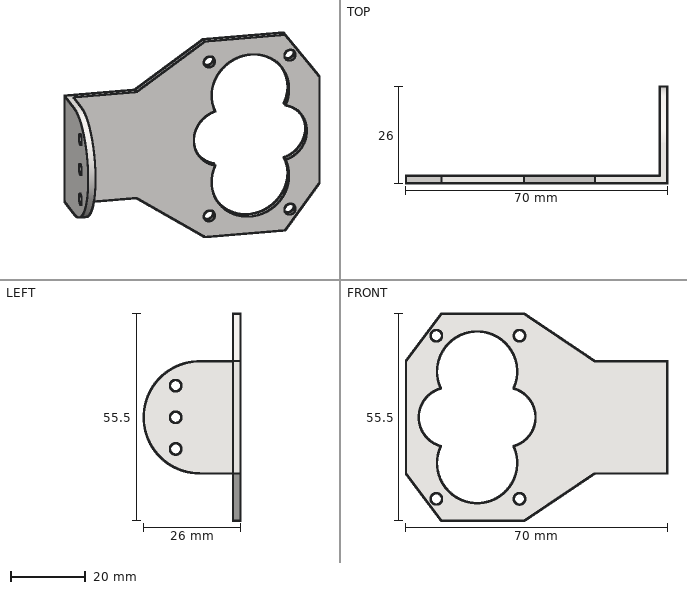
import cadquery as cq

length = 70.0
depth = 26.0
height = 55.5
thickness = 2.0

arm_width = 30.1
corner_length = 9.5
head_end_x = 31.7
arm_start_x = 50.6

window_x = 19.1
tall_lobe_radius = 10.7
tall_lobe_offset = 12.25
side_lobe_radius = 8.0
side_lobe_offset = 7.6

hole_diameter = 3.0
head_hole_x_positions = (8.2, 30.45)
head_hole_z = 21.85
flange_hole_y = 17.35
flange_hole_pitch = 8.5

half_height = height / 2
half_arm = arm_width / 2
flange_arc_y = depth - half_arm


def plate_sketch():
    """XZ workplane at the back of the plate, facing -Y."""
    return cq.Workplane("XZ", origin=(0, thickness, 0))


def flange_sketch():
    """YZ workplane at the inner face of the flange, facing +X."""
    return cq.Workplane("YZ", origin=(length - thickness, 0, 0))


def make_plate():
    upper_outline = [
        (0, half_arm),
        (corner_length, half_height),
        (head_end_x, half_height),
        (arm_start_x, half_arm),
        (length, half_arm),
    ]
    lower_outline = [(x, -z) for x, z in reversed(upper_outline)]
    return plate_sketch().polyline(upper_outline + lower_outline).close().extrude(thickness)


def make_flange():
    """Upright flange with a fully rounded free end."""
    return (
        flange_sketch()
        .moveTo(0, -half_arm)
        .lineTo(flange_arc_y, -half_arm)
        .threePointArc((depth, 0), (flange_arc_y, half_arm))
        .lineTo(0, half_arm)
        .close()
        .extrude(thickness)
    )


def make_window():
    tall_centers = [(window_x, side * tall_lobe_offset) for side in (-1, 1)]
    side_centers = [(window_x + side * side_lobe_offset, 0) for side in (-1, 1)]
    window = plate_sketch().pushPoints(tall_centers).circle(tall_lobe_radius).extrude(thickness)
    for center in side_centers:
        side_lobe = plate_sketch().pushPoints([center]).circle(side_lobe_radius).extrude(thickness)
        window = window.union(side_lobe)
    return window


def make_holes(sketch, centers):
    return sketch.pushPoints(centers).circle(hole_diameter / 2).extrude(thickness)


head_holes = [(x, side * head_hole_z) for x in head_hole_x_positions for side in (-1, 1)]
flange_holes = [(flange_hole_y, step * flange_hole_pitch) for step in (-1, 0, 1)]

result = (
    make_plate()
    .union(make_flange())
    .cut(make_window())
    .cut(make_holes(plate_sketch(), head_holes))
    .cut(make_holes(flange_sketch(), flange_holes))
)